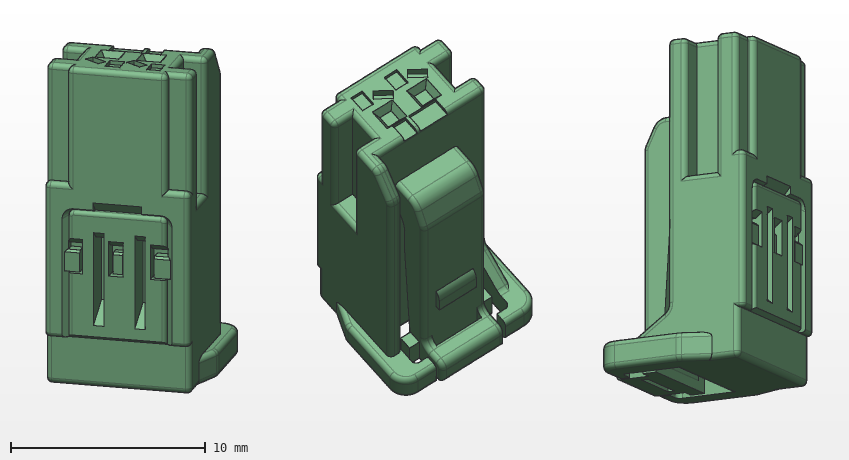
import cadquery as cq

HEIGHT = 17.2
HALF_WIDTH = 3.85
BACK_Y = 4.42
EDGE_R = 0.3
OVERLAP = 0.35
CLEAR = 1.72
TOL = 0.002
SPAN = 2 * HALF_WIDTH

FOOT_FRONT_Y = 0.3
PANEL_BOTTOM_Z = 2.61
PANEL_BOTTOM_R = 0.19

RELIEF_HALF_X = 2.65
CORNER_NOTCH_Y = 0.4
CORNER_NOTCH_Z = 10.94
SIDE_GROOVE_Y = (1.62, 3.35)
SIDE_GROOVE_Z = 9.89

WALL_INNER_X = 3.05
WALL_BACK_Y = 6.42
WALL_SLOPE_Y = 5.16
WALL_SLOPE_Z = 15.57
WALL_BEND_R = 0.69
WALL_TOP_R = 0.52
RAMP_TOP_Z = 2.94
RAMP_BACK_Y = 6.54
RAMP_R = 0.6

ARM_HEIGHT = 1.5
ARM_HALF_WIDTH = 8.9 / 2
ARM_START_Y = 1.85
ARM_WIDE_Y = 3.47
ARM_BACK_Y = 8.24
ARM_INNER_BACK_Y = 7.5
ARM_CORNER_R = 1.03
ARM_BEND_R = 0.86
ARM_INNER_R = 0.3
ARM_GAP_HALF_X = 2.22

LATCH_HALF_X = 2.01
LATCH_TOP_Z = 13.64
LATCH_BACK_Y = 6.83
LATCH_BEND_Y = 6.07
LATCH_BEND_Z = 12.13
LATCH_TOP_R = 0.86
LATCH_BEND_R = 0.69
LATCH_ROOT_Z = 11.63
LATCH_ROOT_ARC_Z = 10.25
LATCH_TAPER_Z = 8.43
LATCH_INNER_Y = 5.23
PAD_BACK_Y = 8.45
PAD_FRONT_Y = 5.76
PAD_BLEND_R = 0.5
PAD_BACK_R = 0.48
STOP_HALF_X = 2.65
STOP_FRONT_Y = 5.73
STOP_BACK_Y = 6.5
STOP_HEIGHT = ARM_HEIGHT
NUB_HALF_X = 1.19
NUB_BACK_Y = 7.1
NUB_BOTTOM_Z = 4.42
NUB_ARC_Z = 5.23
NUB_TOP_Z = 5.81
PAD_SLOT_HALF_X = 1.45
PAD_SLOT_BACK_Y = 7.2
PAD_SLOT_TOP_Z = 2.15

RECESS_HALF_X = 2.92
RECESS_TOP_Z = 9.61
RECESS_R = 0.6
INSERT_HALF_X = 2.61
INSERT_TOP_Z = 9.5
INSERT_DEPTH = 0.3
INSERT_EDGE_R = 0.22
INSERT_CORNER_R = 0.3
PRY_HALF_X = 1.29
PRY_TOP_Z = 10.01
PRY_DEPTH = 0.45

PITCH = 2.2
PIN_Y = 2.73
PIN_MOUTH = 1.27
PIN_FLOOR = 0.72
PIN_DEPTH = 0.43
SLOT_SHIFT = 0.12
SLOT_HALF_MOUTH = 0.28
SLOT_HALF_FLOOR = 0.19
SLOT_Z = (3.4, 8.41)
SLOT_FLOOR_Z = (4.44, 8.07)
SLOT_DEPTH = 1.29
WINDOW_Z = (6.14, 8.0)
WINDOW_FLOOR_Z = (6.14, 7.69)
WINDOW_DEPTH = 0.77
LIP_DEPTH = 0.4
BLOCK_Z = (6.2, 7.35)
BLOCK_CHAMFER = 0.12
WINDOWS = (
    ((-2.65, -1.84), (-2.87, -2.01), 0.1),
    ((-0.45, 0.33), (-0.28, 0.22), 0.25),
    ((1.77, 2.65), (1.95, 2.84), 0.1),
)

LABEL_DEPTH = 0.2
MARK_SHIFT_X = -0.46
MARK_Y = 1.57
MARK_LENGTH = 1.03
MARK_WIDTH = 0.5
MARK_DEPTH = 0.43
MARK_ANGLE = -35.3
LABELS = (
    ((-1.35, 0.38), (3.4, BACK_Y)),
    ((0.58, 1.41), (3.4, BACK_Y)),
    ((-0.85, -0.05), (0.74, 1.72)),
    ((1.38, 2.08), (0.74, 1.72)),
)


def box(x, y, z):
    """Box spanning the (low, high) ranges given for each axis."""
    return cq.Workplane("XY").box(
        x[1] - x[0], y[1] - y[0], z[1] - z[0], centered=False
    ).translate((x[0], y[0], z[0]))


def extrude_x(profile, x_low, x_high):
    """Extrude a closed (Y, Z) profile between two X positions."""
    return profile.extrude(x_high - x_low).translate((x_low, 0, 0))


def mirrored(shape):
    """The shape together with its mirror image across X = 0."""
    return shape.union(shape.mirror("YZ"))


def round_x_edge(shape, y, z, radius):
    """Round the edges parallel to X that pass through (y, z)."""
    picker = cq.selectors.BoxSelector((-SPAN, y - TOL, z - TOL), (SPAN, y + TOL, z + TOL))
    return shape.edges("|X").edges(picker).fillet(radius)


def make_foot():
    """Plain rounded foot set back behind the front panel."""
    foot = box((-HALF_WIDTH, HALF_WIDTH), (FOOT_FRONT_Y, BACK_Y), (0, PANEL_BOTTOM_Z + OVERLAP))
    return foot.edges("|Z").fillet(EDGE_R).faces("<Z").edges().fillet(EDGE_R)


def is_outer_edge(edge):
    """True for the convex edges of the upper body that carry the common edge round."""
    span = edge.BoundingBox()
    if span.zmax < PANEL_BOTTOM_Z + TOL:
        return False
    on_side = span.xmin > HALF_WIDTH - TOL or span.xmax < TOL - HALF_WIDTH
    on_front = span.ymax < TOL
    on_top = span.zmin > HEIGHT - TOL
    on_wall = span.ymin > BACK_Y + TOL and span.xmin > 0 and span.xmax - span.xmin < TOL
    return on_side or on_front or on_top or on_wall


def make_upper_body():
    """Main block with its relief cuts, guard wall and ramp, rounded all over."""
    body = box((-HALF_WIDTH, HALF_WIDTH), (0, BACK_Y), (PANEL_BOTTOM_Z, HEIGHT))
    relief_x = (RELIEF_HALF_X, HALF_WIDTH + CLEAR)
    notch = box(relief_x, (-CLEAR, CORNER_NOTCH_Y), (CORNER_NOTCH_Z, HEIGHT + CLEAR))
    groove = box(relief_x, SIDE_GROOVE_Y, (SIDE_GROOVE_Z, HEIGHT + CLEAR))
    body = body.cut(mirrored(notch)).cut(mirrored(groove))
    wall = cq.Workplane("YZ").polyline([
        (BACK_Y - OVERLAP, OVERLAP), (WALL_BACK_Y, OVERLAP), (WALL_BACK_Y, WALL_SLOPE_Z),
        (WALL_SLOPE_Y, HEIGHT), (BACK_Y - OVERLAP, HEIGHT),
    ]).close()
    wall = extrude_x(wall, WALL_INNER_X, HALF_WIDTH)
    wall = round_x_edge(wall, WALL_BACK_Y, WALL_SLOPE_Z, WALL_BEND_R)
    wall = round_x_edge(wall, WALL_SLOPE_Y, HEIGHT, WALL_TOP_R)
    ramp = cq.Workplane("YZ").polyline([
        (BACK_Y - OVERLAP, OVERLAP), (ARM_INNER_BACK_Y, OVERLAP), (ARM_INNER_BACK_Y, ARM_HEIGHT),
        (RAMP_BACK_Y, ARM_HEIGHT), (BACK_Y, RAMP_TOP_Z), (BACK_Y, HEIGHT), (BACK_Y - OVERLAP, HEIGHT),
    ]).close()
    ramp = extrude_x(ramp, -HALF_WIDTH, -WALL_INNER_X)
    ramp = round_x_edge(ramp, BACK_Y, RAMP_TOP_Z, RAMP_R)
    ramp = round_x_edge(ramp, RAMP_BACK_Y, ARM_HEIGHT, RAMP_R)
    body = body.union(wall).union(ramp)
    body = body.edges().filter(is_outer_edge).fillet(EDGE_R)
    return round_x_edge(body, 0, PANEL_BOTTOM_Z, PANEL_BOTTOM_R)


def make_arms():
    """Two hooked arms standing around the latch, open at the middle of the back."""
    outline = [
        (HALF_WIDTH, ARM_START_Y), (ARM_HALF_WIDTH, ARM_WIDE_Y), (ARM_HALF_WIDTH, ARM_BACK_Y),
    ]
    outline += [(-x, y) for x, y in reversed(outline)]
    slab = cq.Workplane("XY").polyline(outline).close().extrude(ARM_HEIGHT)
    slab = slab.edges("|Z and >Y").fillet(ARM_CORNER_R)
    bends = cq.selectors.BoxSelector(
        (-SPAN, ARM_WIDE_Y - TOL, 0), (SPAN, ARM_WIDE_Y + TOL, ARM_HEIGHT)
    )
    slab = slab.edges("|Z").edges(bends).fillet(ARM_BEND_R)
    slab = slab.faces("<Z or >Z").edges().fillet(EDGE_R)
    opening = box((-WALL_INNER_X, WALL_INNER_X), (ARM_WIDE_Y, ARM_INNER_BACK_Y), (0, ARM_HEIGHT))
    opening = opening.edges("|Z and >Y").fillet(ARM_INNER_R)
    gap = box((-ARM_GAP_HALF_X, ARM_GAP_HALF_X), (ARM_WIDE_Y, ARM_BACK_Y), (0, ARM_HEIGHT))
    return slab.cut(opening).cut(gap)


def is_latch_outer_edge(edge):
    """True for the edges around the outward faces of the latch and pad."""
    span = edge.BoundingBox()
    at_bottom = span.zmax < TOL
    if span.ymin > PAD_BACK_Y - TOL:
        return at_bottom or span.zmax - span.zmin > TOL
    on_side = span.xmin > LATCH_HALF_X - TOL or span.xmax < TOL - LATCH_HALF_X
    behind_body = span.ymax > BACK_Y
    outward = edge.Center().y > LATCH_BACK_Y - TOL or span.zmin > LATCH_ROOT_Z + TOL
    return on_side and behind_body and outward and not at_bottom


def make_latch():
    """Spring latch hanging from the upper body, ending in a finger pad."""
    profile = (
        cq.Workplane("YZ")
        .moveTo(BACK_Y - OVERLAP, LATCH_TOP_Z)
        .lineTo(LATCH_BEND_Y, LATCH_TOP_Z)
        .lineTo(LATCH_BACK_Y, LATCH_BEND_Z)
        .lineTo(LATCH_BACK_Y, ARM_HEIGHT)
        .lineTo(PAD_BACK_Y, ARM_HEIGHT)
        .lineTo(PAD_BACK_Y, 0)
        .lineTo(PAD_FRONT_Y, 0)
        .lineTo(LATCH_INNER_Y, LATCH_TAPER_Z)
        .lineTo(LATCH_INNER_Y, LATCH_ROOT_ARC_Z)
        .tangentArcPoint((BACK_Y, LATCH_ROOT_Z), relative=False)
        .lineTo(BACK_Y - OVERLAP, LATCH_ROOT_Z)
        .close()
    )
    latch = extrude_x(profile, -LATCH_HALF_X, LATCH_HALF_X)
    latch = round_x_edge(latch, LATCH_BEND_Y, LATCH_TOP_Z, LATCH_TOP_R)
    latch = round_x_edge(latch, LATCH_BACK_Y, LATCH_BEND_Z, LATCH_BEND_R)
    latch = round_x_edge(latch, LATCH_BACK_Y, ARM_HEIGHT, PAD_BLEND_R)
    latch = round_x_edge(latch, PAD_BACK_Y, ARM_HEIGHT, PAD_BACK_R)
    latch = latch.edges().filter(is_latch_outer_edge).fillet(EDGE_R)
    slot = box(
        (-PAD_SLOT_HALF_X, PAD_SLOT_HALF_X), (LATCH_BACK_Y, PAD_SLOT_BACK_Y), (0, PAD_SLOT_TOP_Z)
    )
    nub = (
        cq.Workplane("YZ")
        .moveTo(LATCH_BACK_Y - OVERLAP, NUB_BOTTOM_Z)
        .lineTo(NUB_BACK_Y, NUB_BOTTOM_Z)
        .lineTo(NUB_BACK_Y, NUB_ARC_Z)
        .tangentArcPoint((LATCH_BACK_Y, NUB_TOP_Z), relative=False)
        .lineTo(LATCH_BACK_Y - OVERLAP, NUB_TOP_Z)
        .close()
    )
    stop = box((-STOP_HALF_X, STOP_HALF_X), (STOP_FRONT_Y, STOP_BACK_Y), (0, STOP_HEIGHT))
    return latch.cut(slot).union(extrude_x(nub, -NUB_HALF_X, NUB_HALF_X)).union(stop)


def recess_outline(half_x, top_z, corner_r, depth):
    """Round-topped outline of the front recess at the given depth."""
    return (
        cq.Workplane("XZ", origin=(0, depth, 0))
        .moveTo(-half_x, PANEL_BOTTOM_Z)
        .lineTo(-half_x, top_z - corner_r)
        .tangentArcPoint((corner_r, corner_r))
        .lineTo(half_x - corner_r, top_z)
        .tangentArcPoint((corner_r, -corner_r))
        .lineTo(half_x, PANEL_BOTTOM_Z)
        .close()
    )


def front_pocket(outer_x, inner_x, z, floor_z, lip_depth, depth):
    """Pocket going in +Y from the front face.

    Its sides narrow from outer_x to inner_x. Its ceiling slopes down over lip_depth
    and then runs level, and its bottom rises to floor_z[0] at full depth.
    """
    plan = cq.Workplane("XY", origin=(0, 0, z[0])).polyline([
        (outer_x[0], 0), (outer_x[1], 0), (inner_x[1], depth), (inner_x[0], depth),
    ]).close().extrude(z[1] - z[0])
    profile = cq.Workplane("YZ").polyline([
        (0, z[0]), (0, z[1]), (lip_depth, floor_z[1]), (depth, floor_z[1]), (depth, floor_z[0]),
    ]).close()
    return plan.intersect(extrude_x(profile, outer_x[0], outer_x[1]))


def add_retainer(body):
    """Front retainer: sloped recess, raised insert, pry notch, slots and windows."""
    mouth = recess_outline(RECESS_HALF_X, RECESS_TOP_Z, RECESS_R, 0).val()
    floor = recess_outline(INSERT_HALF_X, INSERT_TOP_Z, INSERT_CORNER_R, INSERT_DEPTH).val()
    body = body.cut(cq.Workplane(cq.Solid.makeLoft([mouth, floor], True)))
    pry = cq.Workplane("YZ").polyline([
        (0, INSERT_TOP_Z), (0, PRY_TOP_Z), (PRY_DEPTH, INSERT_TOP_Z),
    ]).close()
    body = body.cut(extrude_x(pry, -PRY_HALF_X, PRY_HALF_X))

    insert = cq.Workplane("YZ").polyline([
        (INSERT_DEPTH, PANEL_BOTTOM_Z), (0, PANEL_BOTTOM_Z + PANEL_BOTTOM_R), (0, INSERT_TOP_Z),
        (INSERT_DEPTH + OVERLAP, INSERT_TOP_Z), (INSERT_DEPTH + OVERLAP, PANEL_BOTTOM_Z),
    ]).close()
    insert = extrude_x(insert, -INSERT_HALF_X, INSERT_HALF_X)
    insert = insert.edges("|Y and >Z").fillet(INSERT_CORNER_R)
    insert = insert.faces("<Y").edges("not <Z").fillet(INSERT_EDGE_R)
    body = body.union(insert)

    for x in (-PITCH / 2 + SLOT_SHIFT, PITCH / 2 + SLOT_SHIFT):
        body = body.cut(front_pocket(
            (x - SLOT_HALF_MOUTH, x + SLOT_HALF_MOUTH),
            (x - SLOT_HALF_FLOOR, x + SLOT_HALF_FLOOR),
            SLOT_Z, SLOT_FLOOR_Z, LIP_DEPTH, SLOT_DEPTH,
        ))

    for window_x, block_x, block_y in WINDOWS:
        body = body.cut(front_pocket(
            window_x, window_x, WINDOW_Z, WINDOW_FLOOR_Z, LIP_DEPTH, WINDOW_DEPTH
        ))
        block = box(block_x, (block_y, WINDOW_DEPTH + OVERLAP), BLOCK_Z)
        body = body.union(block.edges("|X and <Y and >Z").chamfer(BLOCK_CHAMFER))
    return body


def cut_top_details(body):
    """Pin funnels, slanted marks and label pockets in the top face."""
    for x in (-PITCH / 2, PITCH / 2):
        funnel = (
            cq.Workplane("XY", origin=(x, PIN_Y, HEIGHT)).rect(PIN_MOUTH, PIN_MOUTH)
            .workplane(offset=-PIN_DEPTH).rect(PIN_FLOOR, PIN_FLOOR).loft(ruled=True)
        )
        mark = (
            cq.Workplane("XY", origin=(x + MARK_SHIFT_X, MARK_Y, HEIGHT))
            .transformed(rotate=(0, 0, MARK_ANGLE))
            .rect(MARK_LENGTH, MARK_WIDTH).extrude(-MARK_DEPTH)
        )
        body = body.cut(funnel).cut(mark)
    for label_x, label_y in LABELS:
        body = body.cut(box(label_x, label_y, (HEIGHT - LABEL_DEPTH, HEIGHT)))
    return body


result = make_upper_body().union(make_foot())
result = result.union(make_arms()).union(make_latch())
result = cut_top_details(add_retainer(result))